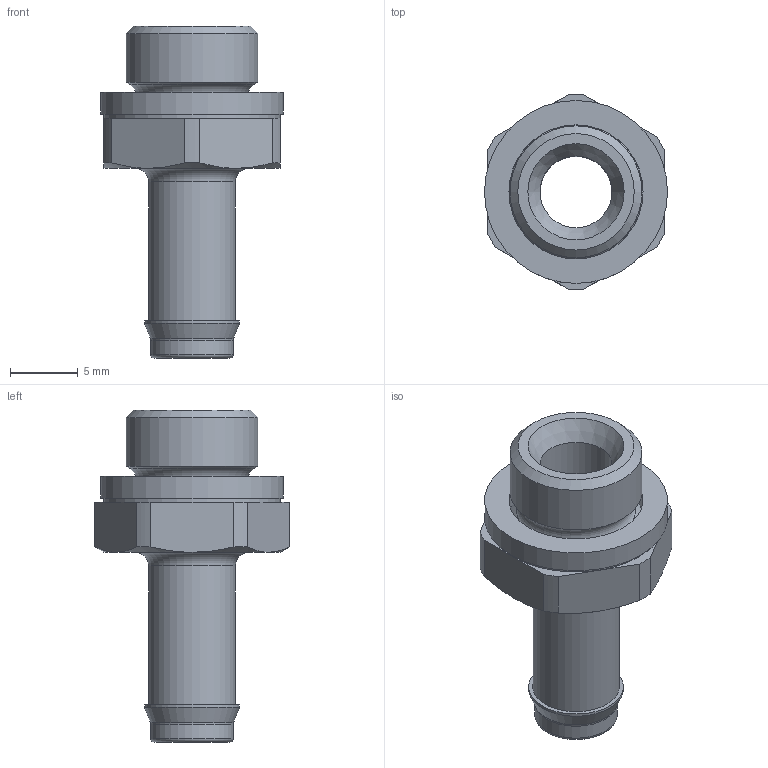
import cadquery as cq
import math

TOTAL_HEIGHT = 24.5
HEX_BOTTOM_Z = 14.0
HEX_TOP_Z = 17.7
RING_BOTTOM_Z = 18.0
RING_TOP_Z = 19.6

BORE_DIAMETER = 5.3
MOUTH_DIAMETER = 7.1
MOUTH_HALF_ANGLE = 30.0

PILOT_DIAMETER = 6.1
TIP_FILLET = 0.25
BARB_DIAMETER = 7.0
BARB_BOTTOM_Z = 1.4
BARB_ROOT_FILLET = 0.4
BARB_RIM_Z = 2.55
BARB_TOP_Z = 2.75
SHANK_DIAMETER = 6.4
SHANK_FILLET = 1.0

HEX_SIDES = 6
HEX_ACROSS_FLATS = 13.0
HEX_CORNER_DIAMETER = 14.4
HEX_CHAMFER_ANGLE = 30.0

RING_OUTER_DIAMETER = 13.5
RING_INNER_DIAMETER = 9.9

THREAD_DIAMETER = 9.73
THREAD_BOTTOM_Z = 20.35
THREAD_CHAMFER = 0.57
NECK_DIAMETER = 8.2
RELIEF_ANGLE = 30.0
NECK_FOOT_ANGLE = 45.0
RELIEF_ARC_RADIUS = 1.0


def tan_deg(angle):
    return math.tan(math.radians(angle))


def polar_point(center, radius, angle):
    """Point at an angle in degrees around a center in the (radius, Z) plane."""
    turn = math.radians(angle)
    return (center[0] + radius * math.cos(turn), center[1] + radius * math.sin(turn))


def revolve_profile(profile):
    """Turn a closed (radius, Z) profile around the Z axis."""
    return profile.close().revolve(360, (0, 0, 0), (0, 1, 0))


def make_hose_stem():
    pilot_radius = PILOT_DIAMETER / 2
    barb_radius = BARB_DIAMETER / 2
    shank_radius = SHANK_DIAMETER / 2
    barb_slope = math.degrees(math.atan2(barb_radius - pilot_radius, BARB_RIM_Z - BARB_BOTTOM_Z))
    barb_root_z = BARB_BOTTOM_Z - BARB_ROOT_FILLET * tan_deg(barb_slope / 2)
    barb_root_center = (pilot_radius + BARB_ROOT_FILLET, barb_root_z)
    barb_root_middle = polar_point(barb_root_center, BARB_ROOT_FILLET, 180 - barb_slope / 2)
    barb_root_end = polar_point(barb_root_center, BARB_ROOT_FILLET, 180 - barb_slope)
    tip_center = (pilot_radius - TIP_FILLET, TIP_FILLET)
    root_center = (shank_radius + SHANK_FILLET, HEX_BOTTOM_Z - SHANK_FILLET)
    profile = (
        cq.Workplane("XZ")
        .moveTo(0, 0)
        .lineTo(tip_center[0], 0)
        .threePointArc(polar_point(tip_center, TIP_FILLET, -45), (pilot_radius, TIP_FILLET))
        .lineTo(pilot_radius, barb_root_z)
        .threePointArc(barb_root_middle, barb_root_end)
        .lineTo(barb_radius, BARB_RIM_Z)
        .lineTo(barb_radius, BARB_TOP_Z)
        .lineTo(shank_radius, BARB_TOP_Z)
        .lineTo(shank_radius, root_center[1])
        .threePointArc(polar_point(root_center, SHANK_FILLET, 135), (root_center[0], HEX_BOTTOM_Z))
        .lineTo(0, HEX_BOTTOM_Z)
    )
    return revolve_profile(profile)


def make_hexagon():
    height = HEX_TOP_Z - HEX_BOTTOM_Z
    flat_radius = HEX_ACROSS_FLATS / 2
    corner_radius = HEX_CORNER_DIAMETER / 2
    chamfer_height = (corner_radius - flat_radius) * tan_deg(HEX_CHAMFER_ANGLE)
    half_sector = 180 / HEX_SIDES
    sharp_corner_diameter = HEX_ACROSS_FLATS / math.cos(math.radians(half_sector))
    prism = (
        cq.Workplane("XY", origin=(0, 0, HEX_BOTTOM_Z))
        .transformed(rotate=(0, 0, half_sector))
        .polygon(HEX_SIDES, sharp_corner_diameter)
        .extrude(height)
    )
    envelope = revolve_profile(
        cq.Workplane("XZ")
        .moveTo(0, HEX_BOTTOM_Z)
        .lineTo(flat_radius, HEX_BOTTOM_Z)
        .lineTo(corner_radius, HEX_BOTTOM_Z + chamfer_height)
        .lineTo(corner_radius, HEX_TOP_Z)
        .lineTo(0, HEX_TOP_Z)
    )
    return prism.intersect(envelope)


def make_collar():
    return (
        cq.Workplane("XY", origin=(0, 0, HEX_TOP_Z))
        .circle(HEX_ACROSS_FLATS / 2)
        .extrude(RING_BOTTOM_Z - HEX_TOP_Z)
    )


def make_sealing_ring():
    return (
        cq.Workplane("XY", origin=(0, 0, RING_BOTTOM_Z))
        .circle(RING_OUTER_DIAMETER / 2)
        .circle(RING_INNER_DIAMETER / 2)
        .extrude(RING_TOP_Z - RING_BOTTOM_Z)
    )


def make_threaded_end():
    thread_radius = THREAD_DIAMETER / 2
    neck_radius = NECK_DIAMETER / 2
    arc_end_angle = 90 + RELIEF_ANGLE
    arc_center_radius = neck_radius + RELIEF_ARC_RADIUS
    arc_end_radius = polar_point((arc_center_radius, 0), RELIEF_ARC_RADIUS, arc_end_angle)[0]
    arc_end_z = THREAD_BOTTOM_Z - (thread_radius - arc_end_radius) * tan_deg(RELIEF_ANGLE)
    arc_center_z = arc_end_z - RELIEF_ARC_RADIUS * math.cos(math.radians(RELIEF_ANGLE))
    arc_center = (arc_center_radius, arc_center_z)
    arc_start = polar_point(arc_center, RELIEF_ARC_RADIUS, 180 + NECK_FOOT_ANGLE)
    foot_radius = arc_start[0] + (arc_start[1] - RING_BOTTOM_Z) * tan_deg(NECK_FOOT_ANGLE)
    profile = (
        cq.Workplane("XZ")
        .moveTo(0, RING_BOTTOM_Z)
        .lineTo(foot_radius, RING_BOTTOM_Z)
        .lineTo(*arc_start)
        .threePointArc((neck_radius, arc_center_z), (arc_end_radius, arc_end_z))
        .lineTo(thread_radius, THREAD_BOTTOM_Z)
        .lineTo(thread_radius, TOTAL_HEIGHT - THREAD_CHAMFER)
        .lineTo(thread_radius - THREAD_CHAMFER, TOTAL_HEIGHT)
        .lineTo(0, TOTAL_HEIGHT)
    )
    return revolve_profile(profile)


def make_bore():
    bore_radius = BORE_DIAMETER / 2
    mouth_radius = MOUTH_DIAMETER / 2
    mouth_depth = (mouth_radius - bore_radius) / tan_deg(MOUTH_HALF_ANGLE)
    profile = (
        cq.Workplane("XZ")
        .moveTo(0, 0)
        .lineTo(bore_radius, 0)
        .lineTo(bore_radius, TOTAL_HEIGHT - mouth_depth)
        .lineTo(mouth_radius, TOTAL_HEIGHT)
        .lineTo(0, TOTAL_HEIGHT)
    )
    return revolve_profile(profile)


body = make_hose_stem()
for section in (make_hexagon(), make_collar(), make_sealing_ring(), make_threaded_end()):
    body = body.union(section)

result = body.cut(make_bore())